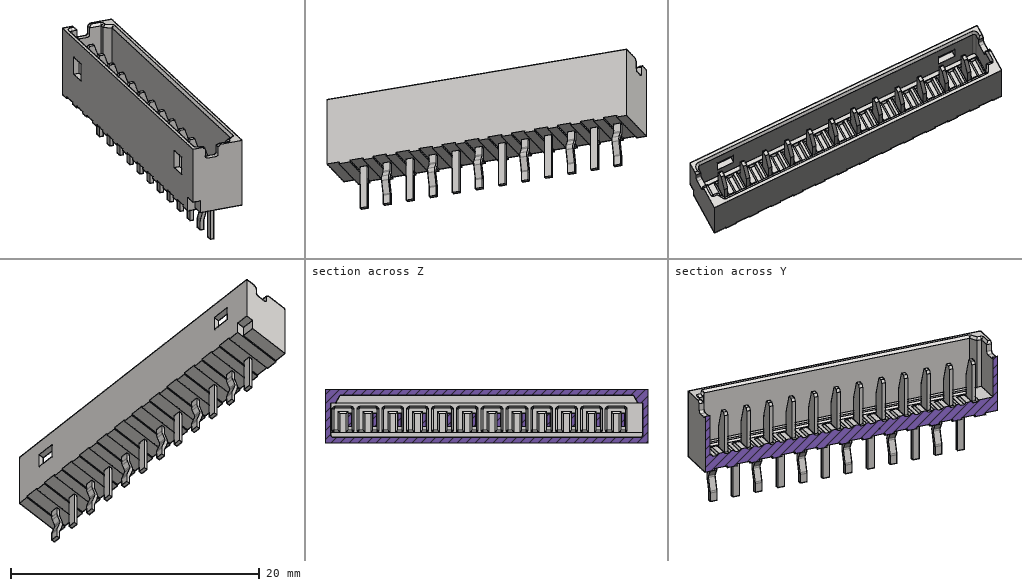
import cadquery as cq

LENGTH = 26.0
WIDTH = 4.35
HOUSING_HEIGHT = 5.88
TAIL_LENGTH = 3.48

CONTACT_COUNT = 12
FIRST_CONTACT_X = -11.57
LAST_CONTACT_X = 10.43
PITCH = (LAST_CONTACT_X - FIRST_CONTACT_X) / (CONTACT_COUNT - 1)
CONTACT_XS = [FIRST_CONTACT_X + i * PITCH for i in range(CONTACT_COUNT)]
SHEET = 0.3

CAVITY_FLOOR_Z = 1.33
CAVITY_HALF_LENGTH = 12.55
CAVITY_HALF_WIDTH = 1.7
CAVITY_REAR_HALF_LENGTH = 11.8
SLANT_END_HALF_LENGTH = 12.17
SHOULDER_Y = 1.07
FRONT_CORNER_RADIUS = 0.2
MOUTH_CHAMFER = 0.2

BLOCK_FRONT_Y = -1.3
BLOCK_REAR_Y = SHOULDER_Y
BLOCK_HEIGHT = 0.15
BLOCK_TOP_Z = CAVITY_FLOOR_Z + BLOCK_HEIGHT

CELL_FLOOR_WIDTH = 1.45
CELL_FLOOR_FRONT_Y = -1.12
CELL_FLOOR_REAR_Y = 0.65
CELL_CORNER_CUT = 0.08
POST_WIDTH = 0.47
POST_REAR_Y = 0.2

BLADE_OFFSET_X = POST_WIDTH / 2 + BLOCK_HEIGHT
BLADE_REAR_Y = 0.25
BLADE_REAR_SLOPE_Z = 3.28
TIP_REAR_Y = -0.29
TIP_FRONT_Y = -0.68
TIP_Z = 4.85
BLADE_FRONT_Y = -0.83
BLADE_FRONT_SLOPE_Z = 4.6

TAIL_TOP_Z = CAVITY_FLOOR_Z / 2
TAIL_WIDTH = 0.6
TAIL_Y = 0.52
KINK_OFFSET = 0.4
KINK_START_Z = -0.68
KINK_PEAK_Z = -1.35
KINK_END_Z = -2.65
KINK_RADIUS = 0.4

END_NOTCH_FRONT_Y = -1.07
END_NOTCH_REAR_Y = 0.05
END_NOTCH_DEPTH = 1.01
END_NOTCH_CORNER = 0.2
WINDOW_WIDTH = 1.45
WINDOW_HEIGHT = 1.5
WINDOW_BOTTOM_Z = 2.73
WINDOW_X = 10.0

FOOT_HEIGHT = 0.15
SLOT_WIDTH = 1.15
KEY_START_X = 11.95
KEY_DEPTH = 0.65
KEY_TOP_Z = 1.2


def box(x_range, y_range, z_range):
    """Box given by its limits along each axis."""
    size = [high - low for low, high in (x_range, y_range, z_range)]
    start = cq.Vector(x_range[0], y_range[0], z_range[0])
    return cq.Workplane("XY").box(*size, centered=False).translate(start)


def cavity_outline(base_z):
    """Cavity outline at the given height: slanted rear corners, rounded front corners."""
    turn_x = CAVITY_HALF_LENGTH - FRONT_CORNER_RADIUS
    turn_y = FRONT_CORNER_RADIUS - CAVITY_HALF_WIDTH
    return (
        cq.Workplane("XY").workplane(offset=base_z)
        .moveTo(-turn_x, -CAVITY_HALF_WIDTH)
        .lineTo(turn_x, -CAVITY_HALF_WIDTH)
        .radiusArc((CAVITY_HALF_LENGTH, turn_y), -FRONT_CORNER_RADIUS)
        .lineTo(CAVITY_HALF_LENGTH, SHOULDER_Y)
        .lineTo(SLANT_END_HALF_LENGTH, SHOULDER_Y)
        .lineTo(CAVITY_REAR_HALF_LENGTH, CAVITY_HALF_WIDTH)
        .lineTo(-CAVITY_REAR_HALF_LENGTH, CAVITY_HALF_WIDTH)
        .lineTo(-SLANT_END_HALF_LENGTH, SHOULDER_Y)
        .lineTo(-CAVITY_HALF_LENGTH, SHOULDER_Y)
        .lineTo(-CAVITY_HALF_LENGTH, turn_y)
        .radiusArc((-turn_x, -CAVITY_HALF_WIDTH), -FRONT_CORNER_RADIUS)
        .close()
    )


def cavity():
    """Mating cavity with a 45 degree chamfer around its mouth."""
    well = cavity_outline(CAVITY_FLOOR_Z).extrude(HOUSING_HEIGHT - CAVITY_FLOOR_Z)
    mouth = cavity_outline(HOUSING_HEIGHT - MOUTH_CHAMFER).extrude(MOUTH_CHAMFER, taper=-45)
    return well.union(mouth)


def end_notch():
    """Notch across both end walls: chamfered at the top, rounded at the bottom."""
    bottom_z = HOUSING_HEIGHT - END_NOTCH_DEPTH
    slot = box(
        (-LENGTH / 2, LENGTH / 2),
        (END_NOTCH_FRONT_Y, END_NOTCH_REAR_Y),
        (bottom_z, HOUSING_HEIGHT),
    ).faces("<Z").edges("|X").fillet(END_NOTCH_CORNER)
    flare = (
        cq.Workplane("YZ").workplane(offset=-LENGTH / 2)
        .moveTo(END_NOTCH_FRONT_Y - END_NOTCH_CORNER, HOUSING_HEIGHT)
        .lineTo(END_NOTCH_FRONT_Y, HOUSING_HEIGHT - END_NOTCH_CORNER)
        .lineTo(END_NOTCH_REAR_Y, HOUSING_HEIGHT - END_NOTCH_CORNER)
        .lineTo(END_NOTCH_REAR_Y + END_NOTCH_CORNER, HOUSING_HEIGHT)
        .close().extrude(LENGTH)
    )
    return slot.union(flare)


def window(center_x):
    """Rectangular latch window through the front wall."""
    return box(
        (center_x - WINDOW_WIDTH / 2, center_x + WINDOW_WIDTH / 2),
        (-WIDTH / 2, -CAVITY_HALF_WIDTH),
        (WINDOW_BOTTOM_Z, WINDOW_BOTTOM_Z + WINDOW_HEIGHT),
    )


def foot_slot(x_range):
    """Shallow slot across the underside, leaving standoff feet beside it."""
    return box(x_range, (-WIDTH / 2, WIDTH / 2), (0, FOOT_HEIGHT))


def cell(x):
    """Cell in the block top, flaring at 45 degrees from its floor upward."""
    half_width = CELL_FLOOR_WIDTH / 2
    bevel_x = half_width - CELL_CORNER_CUT
    bevel_y = CELL_FLOOR_REAR_Y - CELL_CORNER_CUT
    floor_outline = [
        (x - half_width, CELL_FLOOR_FRONT_Y),
        (x + half_width, CELL_FLOOR_FRONT_Y),
        (x + half_width, bevel_y),
        (x + bevel_x, CELL_FLOOR_REAR_Y),
        (x - bevel_x, CELL_FLOOR_REAR_Y),
        (x - half_width, bevel_y),
    ]
    return (
        cq.Workplane("XY").workplane(offset=CAVITY_FLOOR_Z)
        .polyline(floor_outline).close().extrude(BLOCK_HEIGHT, taper=-45)
    )


def post(x):
    """Low post level with the block top and flush with its front, widening downward at 45 degrees."""
    half_width = POST_WIDTH / 2
    half_foot = half_width + BLOCK_HEIGHT
    return box(
        (x - half_foot, x + half_foot),
        (BLOCK_FRONT_Y, POST_REAR_Y + BLOCK_HEIGHT),
        (FOOT_HEIGHT, BLOCK_TOP_Z),
    ).faces(">Z").edges("<X or >X or >Y").chamfer(BLOCK_HEIGHT)


def blade(x):
    """Upright contact blade with a tapered tip, beside the post."""
    profile = [
        (BLADE_REAR_Y, FOOT_HEIGHT),
        (BLADE_REAR_Y, BLADE_REAR_SLOPE_Z),
        (TIP_REAR_Y, TIP_Z),
        (TIP_FRONT_Y, TIP_Z),
        (BLADE_FRONT_Y, BLADE_FRONT_SLOPE_Z),
        (BLADE_FRONT_Y, FOOT_HEIGHT),
    ]
    return (
        cq.Workplane("YZ").workplane(offset=x + BLADE_OFFSET_X)
        .polyline(profile).close().extrude(SHEET)
    )


def straight_tail(x):
    """Flat solder tail."""
    return box(
        (x - TAIL_WIDTH / 2, x + TAIL_WIDTH / 2),
        (TAIL_Y - SHEET / 2, TAIL_Y + SHEET / 2),
        (-TAIL_LENGTH, TAIL_TOP_Z),
    )


def kinked_tail(x):
    """Solder tail bowed toward +Y so that it grips its board hole."""
    corners = [
        cq.Vector(x, TAIL_Y, TAIL_TOP_Z),
        cq.Vector(x, TAIL_Y, KINK_START_Z),
        cq.Vector(x, TAIL_Y + KINK_OFFSET, KINK_PEAK_Z),
        cq.Vector(x, TAIL_Y, KINK_END_Z),
        cq.Vector(x, TAIL_Y, -TAIL_LENGTH),
    ]
    straight_path = cq.Wire.makePolygon(corners)
    bends = [v for v in straight_path.Vertices() if KINK_END_Z <= v.Z <= KINK_START_Z]
    path = straight_path.fillet(KINK_RADIUS, bends)
    return (
        cq.Workplane("XY", origin=corners[0].toTuple())
        .rect(TAIL_WIDTH, SHEET).sweep(cq.Workplane(obj=path))
    )


housing = box((-LENGTH / 2, LENGTH / 2), (-WIDTH / 2, WIDTH / 2), (0, HOUSING_HEIGHT))
housing = housing.cut(cavity()).cut(end_notch())
for side in (-1, 1):
    housing = housing.cut(window(side * WINDOW_X))

for contact_x in CONTACT_XS:
    housing = housing.cut(foot_slot((contact_x - SLOT_WIDTH / 2, contact_x + SLOT_WIDTH / 2)))
housing = housing.cut(foot_slot((KEY_START_X, LENGTH / 2)))
housing = housing.cut(
    box((KEY_START_X, LENGTH / 2), (-WIDTH / 2, KEY_DEPTH - WIDTH / 2), (0, KEY_TOP_Z))
)

block = box(
    (-CAVITY_HALF_LENGTH, CAVITY_HALF_LENGTH),
    (BLOCK_FRONT_Y, BLOCK_REAR_Y),
    (CAVITY_FLOOR_Z, BLOCK_TOP_Z),
)
for contact_x in CONTACT_XS:
    block = block.cut(cell(contact_x))
result = housing.union(block)

for index, contact_x in enumerate(CONTACT_XS):
    tail = kinked_tail(contact_x) if index % 2 == 0 else straight_tail(contact_x)
    result = result.union(post(contact_x)).union(blade(contact_x)).union(tail)